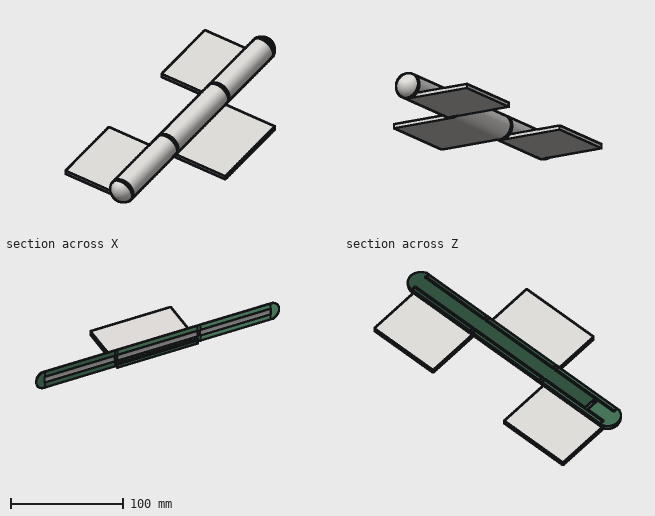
import cadquery as cq
import math

barrel_diameter = 23.0
sheet_thickness = 4.0
leaf_reach = 61.5
outer_leaf_length = 70.0
middle_leaf_length = 80.0
roll_gap = 1.2

washer_thickness = 2.5

overall_length = 246.8
cap_rim_length = 2.5
pin_diameter = 13.8
short_pin_length = 19.3
pin_end_gap = 2.7

barrel_radius = barrel_diameter / 2
bore_radius = barrel_radius - sheet_thickness
pin_radius = pin_diameter / 2
middle_leaf_end = middle_leaf_length / 2
outer_leaf_start = middle_leaf_end + washer_thickness
outer_leaf_end = outer_leaf_start + outer_leaf_length
long_pin_length = 2 * outer_leaf_end - short_pin_length - pin_end_gap
tip = overall_length / 2
dome_start = outer_leaf_end + cap_rim_length
dome_height = tip - dome_start


def bar(radius, y_start, length):
    """Round bar on the hinge axis, running toward +Y."""
    return cq.Workplane("XZ", origin=(0, y_start, 0)).circle(radius).extrude(-length)


def leaf(y_start, length, side):
    """Sheet rolled into an open barrel, with its flat toward +X (side 1) or -X (side -1)."""
    bottom = -barrel_radius
    flat = (
        cq.Workplane("XY", origin=(0, y_start, bottom))
        .rect(leaf_reach, length, centered=False)
        .extrude(sheet_thickness)
    )
    slit = (
        cq.Workplane("XY", origin=(0, y_start, bottom + sheet_thickness))
        .rect(barrel_radius, length, centered=False)
        .extrude(roll_gap)
    )
    bore = bar(bore_radius, y_start, length)
    rolled = bar(barrel_radius, y_start, length).union(flat).cut(bore).cut(slit)
    if side < 0:
        rolled = rolled.mirror("YZ")
    return rolled


def washer(y_start):
    """Ring that fits the pin and separates two barrels."""
    pin_hole = bar(pin_radius, y_start, washer_thickness)
    return bar(barrel_radius, y_start, washer_thickness).cut(pin_hole)


def pin_cap(pin_length):
    """Domed cap at the +Y end of the hinge, with its pin reaching inward."""
    sphere_radius = (barrel_radius**2 + dome_height**2) / (2 * dome_height)
    sphere_center = tip - sphere_radius
    half_angle = math.asin(barrel_radius / sphere_radius) / 2
    dome_middle = (
        sphere_radius * math.sin(half_angle),
        sphere_center + sphere_radius * math.cos(half_angle),
    )
    pin_end = outer_leaf_end - pin_length
    return (
        cq.Workplane("XY")
        .moveTo(0, pin_end)
        .lineTo(pin_radius, pin_end)
        .lineTo(pin_radius, outer_leaf_end)
        .lineTo(barrel_radius, outer_leaf_end)
        .lineTo(barrel_radius, dome_start)
        .threePointArc(dome_middle, (0, tip))
        .close()
        .revolve(360, (0, 0, 0), (0, 1, 0))
    )


leaves = [
    leaf(-outer_leaf_end, outer_leaf_length, -1),
    leaf(-middle_leaf_end, middle_leaf_length, 1),
    leaf(outer_leaf_start, outer_leaf_length, -1),
]
washers = [washer(y_start) for y_start in (-outer_leaf_start, middle_leaf_end)]
long_pin_cap = pin_cap(long_pin_length)
short_pin_cap = pin_cap(short_pin_length).mirror("XZ")

result = cq.Compound.makeCompound([
    *[body.val() for body in leaves],
    *[body.val() for body in washers],
    long_pin_cap.val(),
    short_pin_cap.val(),
])